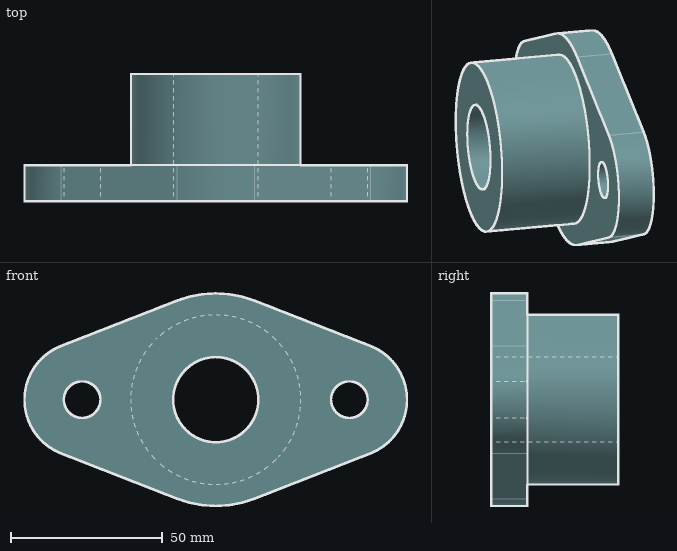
import cadquery as cq
import math

length = 126.0
end_radius = 19.0
middle_radius = 35.0
plate_thickness = 12.0
bolt_hole_diameter = 12.0
bolt_offset = length / 2 - end_radius

boss_diameter = 56.0
boss_length = 30.0
bore_diameter = 28.0
total_depth = plate_thickness + boss_length

flank_angle = math.asin((middle_radius - end_radius) / bolt_offset)
middle_x = middle_radius * math.sin(flank_angle)
middle_z = middle_radius * math.cos(flank_angle)
end_x = bolt_offset + end_radius * math.sin(flank_angle)
end_z = end_radius * math.cos(flank_angle)


def backward_cylinder(diameter, depth, x=0.0):
    """Cylinder from the front face (Y = 0) toward +Y."""
    return cq.Workplane("XZ").center(x, 0).circle(diameter / 2).extrude(-depth)


def flange_plate():
    """Rounded diamond whose straight flanks run tangent into its four arcs."""
    return (
        cq.Workplane("XZ")
        .moveTo(-middle_x, middle_z)
        .threePointArc((0, middle_radius), (middle_x, middle_z))
        .lineTo(end_x, end_z)
        .threePointArc((length / 2, 0), (end_x, -end_z))
        .lineTo(middle_x, -middle_z)
        .threePointArc((0, -middle_radius), (-middle_x, -middle_z))
        .lineTo(-end_x, -end_z)
        .threePointArc((-length / 2, 0), (-end_x, end_z))
        .close()
        .extrude(-plate_thickness)
    )


result = flange_plate().union(backward_cylinder(boss_diameter, total_depth))

result = result.cut(backward_cylinder(bore_diameter, total_depth))
for side in (-1, 1):
    result = result.cut(backward_cylinder(bolt_hole_diameter, plate_thickness, side * bolt_offset))